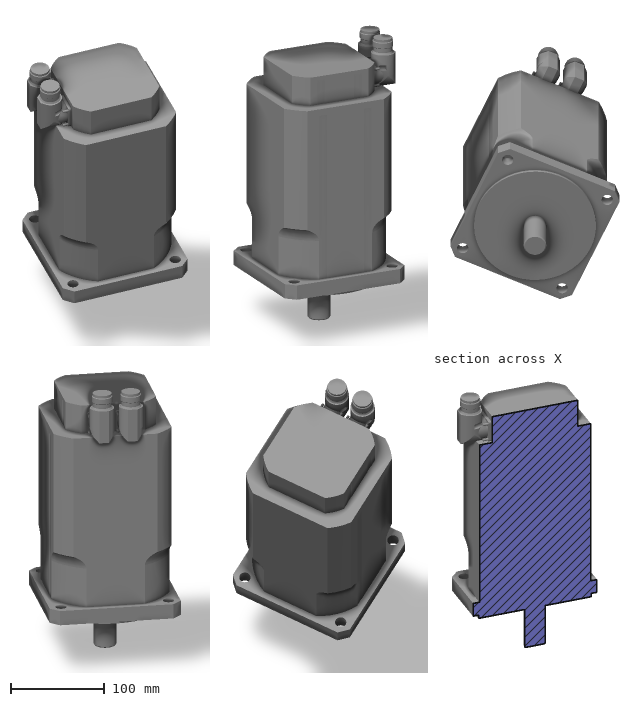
import cadquery as cq
import math


flange_side = 142.0
flange_thickness = 16.0
flange_chamfer = 9.5
hole_diameter = 12.0
hole_offset = 58.2

pilot_diameter = 130.0
pilot_height = 4.0
shaft_diameter = 24.0
shaft_length = 46.5
shaft_chamfer = 1.2

housing_side = 127.8
housing_diameter = 157.0
housing_height = 191.5
housing_top = flange_thickness + housing_height

cap_side = 98.0
cap_diameter = 119.8
cap_height = 31.5
cap_top = housing_top + cap_height

relief_diameter = 142.7
relief_wall_top = 59.7
relief_run_out = 14.0
relief_margin = 3.0

groove_depth = 0.3
housing_groove_width = 9.0
housing_groove_offset = 26.5
housing_groove_gap = 7.5
cap_groove_width = 8.7
cap_groove_offset = 22.0
cap_groove_gap = 3.7

total_height = 309.5
total_depth = 152.0
connector_top = total_height - shaft_length - pilot_height
connector_spacing = 31.0

elbow_radius = 12.7
elbow_flat = 10.5
elbow_facet_angle = 40
elbow_top = connector_top - 16.5
elbow_y = flange_side / 2 - total_depth + elbow_radius
elbow_axis_z = connector_top - 39.5

core_diameter = 20.0
ring_diameter = 22.0
ring_top = connector_top - 2.8
ring_bottom = connector_top - 10.0
ring_chamfer = 0.5
collar_diameter = 22.5
collar_height = 2.0

lug_reach = 13.3
lug_radius = 11.8
lug_back = 1.2

plate_width = 26.0
plate_height = 24.8
plate_thickness = 3.0
plate_corner = 2.5
neck_diameter = 23.5
screw_diameter = 2.7
screw_reach = 9.0
screw_x = 11.5
screw_z = 9.3
clearance_diameter = 6.2
lower_clearance_reach = 9.5
cap_face_y = -cap_side / 2


def cylinder(diameter, bottom, top):
    """Cylinder on the Z axis between two heights."""
    return cq.Workplane("XY").workplane(offset=bottom).circle(diameter / 2).extrude(top - bottom)


def turned_square(side, diameter, bottom, top):
    """Square block whose corners are turned to a diameter."""
    height = top - bottom
    block = cq.Workplane("XY").workplane(offset=bottom).rect(side, side).extrude(height)
    return block.intersect(cylinder(diameter, bottom, top))


def make_flange():
    corners = [(x, y) for x in (-hole_offset, hole_offset) for y in (-hole_offset, hole_offset)]
    return (
        cq.Workplane("XY")
        .rect(flange_side, flange_side)
        .extrude(flange_thickness)
        .edges("|Z")
        .chamfer(flange_chamfer)
        .faces(">Z")
        .workplane(origin=(0, 0, 0))
        .pushPoints(corners)
        .hole(hole_diameter)
    )


def make_corner_relief():
    """Ring that trims the lower housing corners, with a rounded run-out at its top."""
    wall = relief_diameter / 2
    outer = housing_diameter / 2
    depth = outer - wall
    run_out_radius = (relief_run_out**2 + depth**2) / (2 * depth)
    half_angle = math.asin(relief_run_out / run_out_radius) / 2
    middle = (
        wall + run_out_radius * (1 - math.cos(half_angle)),
        relief_wall_top + run_out_radius * math.sin(half_angle),
    )
    end = (outer, relief_wall_top + relief_run_out)
    beyond = outer + relief_margin
    return (
        cq.Workplane("XZ")
        .moveTo(wall, flange_thickness)
        .lineTo(wall, relief_wall_top)
        .threePointArc(middle, end)
        .lineTo(beyond, end[1])
        .lineTo(beyond, flange_thickness)
        .close()
        .revolve(360, (0, 0, 0), (0, 1, 0))
    )


def make_grooves(side, width, offset, bottom, top):
    """Pair of flat vertical grooves in the -X face of a square block."""
    return (
        cq.Workplane("XY")
        .workplane(offset=bottom)
        .pushPoints([(-side / 2, -offset), (-side / 2, offset)])
        .rect(2 * groove_depth, width)
        .extrude(top - bottom)
    )


def make_motor():
    housing = turned_square(housing_side, housing_diameter, flange_thickness, housing_top)
    housing = housing.cut(make_corner_relief())
    housing = housing.cut(make_grooves(
        housing_side, housing_groove_width, housing_groove_offset,
        flange_thickness, housing_top - housing_groove_gap,
    ))
    cap = turned_square(cap_side, cap_diameter, housing_top, cap_top)
    cap = cap.cut(make_grooves(
        cap_side, cap_groove_width, cap_groove_offset, housing_top, cap_top - cap_groove_gap,
    ))
    pilot = cylinder(pilot_diameter, -pilot_height, 0)
    shaft = cylinder(shaft_diameter, -pilot_height - shaft_length, -pilot_height)
    shaft = shaft.faces("<Z").chamfer(shaft_chamfer)
    return make_flange().union(housing).union(cap).union(pilot).union(shaft)


def facet_corner():
    """Distances sideways and forward from the elbow axis to the end of a front facet."""
    angle = math.radians(elbow_facet_angle)
    return elbow_radius * math.sin(angle), elbow_radius * math.cos(angle)


def elbow_profile(plane):
    """Round outline with a flat front and a facet on each side of it."""
    side, front = facet_corner()
    return (
        plane.moveTo(-elbow_flat / 2, -elbow_radius)
        .lineTo(elbow_flat / 2, -elbow_radius)
        .lineTo(side, -front)
        .threePointArc((0, elbow_radius), (-side, -front))
        .close()
    )


def make_elbow():
    """Upright plug body; below the plug axis its end takes the same rounded profile."""
    bottom = elbow_axis_z - elbow_radius
    upright = elbow_profile(cq.Workplane("XY", origin=(0, elbow_y, bottom)))
    upright = upright.extrude(elbow_top - bottom)
    lying = elbow_profile(cq.Workplane("XZ", origin=(0, elbow_y, elbow_axis_z)))
    lying = lying.extrude(elbow_radius, both=True)
    above_axis = (
        cq.Workplane("XY", origin=(0, elbow_y, elbow_axis_z))
        .rect(2 * elbow_radius, 2 * elbow_radius)
        .extrude(elbow_top - elbow_axis_z)
    )
    return upright.intersect(lying.union(above_axis))


def make_lug(outer_side):
    """Upright rib on one side of the elbow: a step at its back, faired into the front facet."""
    side, front = facet_corner()
    centre = lug_reach - lug_radius
    back = centre + math.sqrt(lug_radius**2 - lug_back**2)
    return (
        cq.Workplane("XY", origin=(0, elbow_y, elbow_axis_z))
        .moveTo(0, lug_back)
        .lineTo(outer_side * back, lug_back)
        .threePointArc((outer_side * lug_reach, 0), (outer_side * side, -front))
        .close()
        .extrude(elbow_top - elbow_axis_z)
    )


def make_plug_end():
    """Round threaded end on top of the elbow."""
    core = cylinder(core_diameter, elbow_top, connector_top)
    ring = cylinder(ring_diameter, ring_bottom, ring_top).edges().chamfer(ring_chamfer)
    collar = cq.Workplane(cq.Solid.makeCone(
        collar_diameter / 2, core_diameter / 2, collar_height, cq.Vector(0, 0, elbow_top),
    ))
    return core.union(ring).union(collar).translate((0, elbow_y, 0))


def make_connector(outer_side):
    """Connector on X = 0; outer_side is -1 or +1 for the side that carries the lug."""
    cap_face = cq.Workplane("XZ", origin=(0, cap_face_y, elbow_axis_z))
    axis_reach = cap_face_y - elbow_y
    upper_screws = [(-screw_x, screw_z), (screw_x, screw_z)]
    lower_screws = [(-screw_x, -screw_z), (screw_x, -screw_z)]

    def rods(places, diameter, reach):
        return cap_face.pushPoints(places).circle(diameter / 2).extrude(reach)

    neck = rods([(0, 0)], neck_diameter, axis_reach)
    body = make_elbow().union(neck)
    body = body.cut(rods(upper_screws, clearance_diameter, axis_reach))
    body = body.cut(rods(lower_screws, clearance_diameter, lower_clearance_reach))

    plate = cap_face.rect(plate_width, plate_height).extrude(plate_thickness)
    plate = plate.edges("|Y").fillet(plate_corner)
    screws = rods(upper_screws + lower_screws, screw_diameter, screw_reach)
    return body.union(make_lug(outer_side)).union(make_plug_end()).union(plate).union(screws)


connectors = []
for outer_side in (-1, 1):
    connector = make_connector(outer_side)
    connectors.append(connector.translate((outer_side * connector_spacing / 2, 0, 0)))

motor = make_motor()
for connector in connectors:
    motor = motor.cut(connector)

result = cq.Compound.makeCompound([body.solids().val() for body in [motor, *connectors]])